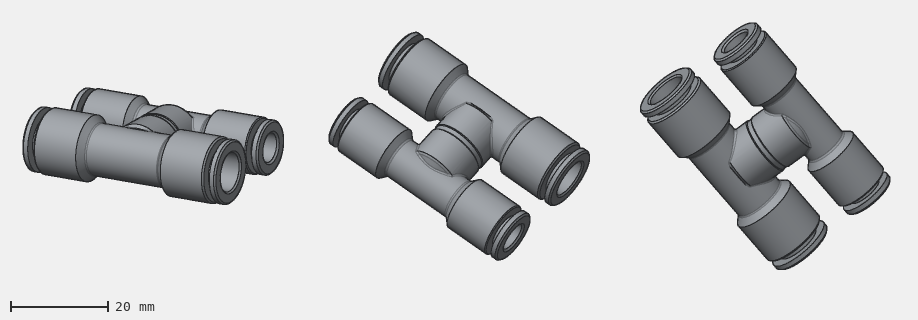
import cadquery as cq
import math

LENGTH = 45.4
AXIS_SPACING = 18.02

large = dict(
    half_length=LENGTH / 2,
    ring_radius=6.75,
    ring_width=1.35,
    neck_radius=4.68,
    body_radius=7.0,
    body_end=19.98,
    body_chamfer=0.35,
    shoulder_start=9.95,
    barrel_radius=5.5,
    shoulder_blend=0.45,
    mouth_radius=4.5,
    socket_radius=4.15,
    bore_radius=3.05,
)

small = dict(
    half_length=22.2,
    ring_radius=5.75,
    ring_width=1.4,
    neck_radius=3.7,
    body_radius=6.0,
    body_end=19.5,
    body_chamfer=0.23,
    shoulder_start=9.4,
    barrel_radius=4.5,
    shoulder_blend=0.65,
    mouth_radius=3.5,
    socket_radius=3.1,
    bore_radius=2.45,
)

RING_CHAMFER = 0.35
STOP_LENGTH = 0.6

BRIDGE_DIAMETER = 12.58
BRIDGE_RADIUS = BRIDGE_DIAMETER / 2
BRIDGE_SETBACK = 1.73
FRONT_CHAMFER = 0.65
BACK_CHAMFER = 0.4
GROOVE_SETBACK = 8.3
GROOVE_DEPTH = 0.2
TIP_DROP = 2.65
TIP_LENGTH = 1.8
FOOT_FILLET = 0.4

TOLERANCE = 0.0005


def revolved_about_x(half_outline):
    """Revolve an outline about X after mirroring it about X = 0."""
    mirrored = [(-x, y) for x, y in reversed(half_outline)]
    outline = cq.Workplane("XY").polyline(half_outline + mirrored).close()
    return outline.revolve(360, (0, 0, 0), (1, 0, 0))


def fitting_outside(f):
    """Outside of one fitting, with its barrel blended into the shoulder tapers."""
    half = f["half_length"]
    ring_inner = half - f["ring_width"]
    barrel_radius = f["barrel_radius"]
    barrel_end = f["shoulder_start"] - (f["body_radius"] - barrel_radius)
    blank = revolved_about_x([
        (barrel_end, barrel_radius),
        (f["shoulder_start"], f["body_radius"]),
        (f["body_end"] - f["body_chamfer"], f["body_radius"]),
        (f["body_end"], f["body_radius"] - f["body_chamfer"]),
        (f["body_end"], f["neck_radius"]),
        (ring_inner, f["neck_radius"]),
        (ring_inner, f["ring_radius"]),
        (half - RING_CHAMFER, f["ring_radius"]),
        (half, f["ring_radius"] - RING_CHAMFER),
        (half, 0),
    ])

    def is_barrel_end(edge):
        return abs(edge.radius() - barrel_radius) < TOLERANCE

    return blank.edges("%CIRCLE").filter(is_barrel_end).fillet(f["shoulder_blend"])


def fitting_bore(f):
    """Through bore with a tube socket and countersunk mouth at both ends."""
    half = f["half_length"]
    mouth_depth = f["mouth_radius"] - f["socket_radius"]
    return revolved_about_x([
        (f["shoulder_start"] - STOP_LENGTH, f["bore_radius"]),
        (f["shoulder_start"], f["socket_radius"]),
        (half - mouth_depth, f["socket_radius"]),
        (half, f["mouth_radius"]),
        (half, 0),
    ])


def bridge():
    """Round bridge about the Y axis, chamfered at both ends, with a shallow middle groove."""
    groove_radius = BRIDGE_RADIUS - GROOVE_DEPTH
    groove_front = GROOVE_SETBACK
    groove_back = AXIS_SPACING - GROOVE_SETBACK
    front = BRIDGE_SETBACK
    back = AXIS_SPACING - BRIDGE_SETBACK
    front_end = front - FRONT_CHAMFER
    tip_start = back + BACK_CHAMFER
    tip_end = tip_start + TIP_LENGTH
    tip_radius = BRIDGE_RADIUS - BACK_CHAMFER
    outline = [
        (front_end, 0),
        (front_end, BRIDGE_RADIUS - FRONT_CHAMFER),
        (front, BRIDGE_RADIUS),
        (groove_front, BRIDGE_RADIUS),
        (groove_front + GROOVE_DEPTH, groove_radius),
        (groove_back - GROOVE_DEPTH, groove_radius),
        (groove_back, BRIDGE_RADIUS),
        (back, BRIDGE_RADIUS),
        (tip_start, tip_radius),
        (tip_end, tip_radius - TIP_DROP),
        (tip_end, 0),
    ]
    return cq.Workplane("YZ").polyline(outline).close().revolve(360, (0, 0, 0), (1, 0, 0))


def blend_foot(body, barrel_radius, axis_y):
    """Fillet the edges where the bridge runs out onto one barrel."""

    def on_barrel(point):
        return abs(math.hypot(point.y - axis_y, point.z) - barrel_radius) < TOLERANCE

    def is_foot(edge):
        on_bridge = all(abs(edge.positionAt(t).x) < BRIDGE_RADIUS + TOLERANCE for t in (0, 0.5, 1))
        lies_on_barrel = all(on_barrel(edge.positionAt(t)) for t in (0.2, 0.4, 0.6, 0.8))
        return edge.geomType() != "LINE" and on_bridge and lies_on_barrel

    return body.edges().filter(is_foot).fillet(FOOT_FILLET)


large_outside = fitting_outside(large)
small_outside = fitting_outside(small).translate((0, AXIS_SPACING, 0))
large_bore = fitting_bore(large)
small_bore = fitting_bore(small).translate((0, AXIS_SPACING, 0))

outside = small_outside.union(bridge())
outside = blend_foot(outside, small["barrel_radius"], AXIS_SPACING)
outside = outside.union(large_outside)
outside = blend_foot(outside, large["barrel_radius"], 0)
result = outside.cut(large_bore).cut(small_bore)